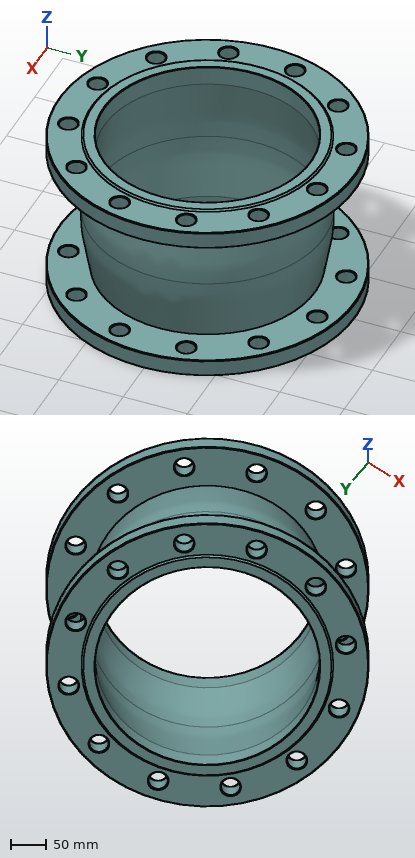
import cadquery as cq

flange_diameter = 460.0
height = 260.0
flange_thickness = 27.0
flange_chamfer = 1.5

rim_height = 2.8
rim_base_radius = 179.5
rim_top_radius = 176.5

bore_radius = 160.0
bore_chamfer = 1.0
neck_radius = 167.5
shoulder_low = (172.5, 66.5)
shoulder_high = (178.0, 42.0)
crest_radius = 180.5
inner_crest_radius = 169.5

bolt_count = 12
bolt_hole_diameter = 27.0
bolt_hole_chamfer = 1.5
bolt_circle_diameter = 400.0

half_height = height / 2
flange_face = half_height - rim_height
flange_back = flange_face - flange_thickness
flange_radius = flange_diameter / 2


def bulge_arch():
    """Revolve the upper half of the bellows wall, which swells towards the mid plane."""
    inner_swell = (inner_crest_radius - bore_radius) / (crest_radius - neck_radius)

    def inner_point(radius, z):
        return (bore_radius + (radius - neck_radius) * inner_swell, z)

    outer = [(neck_radius, flange_back), shoulder_low, shoulder_high, (crest_radius, 0)]
    inner = [inner_point(*point) for point in reversed(outer)]
    neck_slope = (shoulder_low[0] - neck_radius, shoulder_low[1] - flange_back)
    inner_slope = (-neck_slope[0] * inner_swell, -neck_slope[1])
    profile = (
        cq.Workplane("XZ")
        .moveTo(*outer[0])
        .spline(outer[1:], tangents=[neck_slope, (0, -1)], includeCurrent=True)
        .lineTo(*inner[0])
        .spline(inner[1:], tangents=[(0, 1), inner_slope], includeCurrent=True)
        .close()
    )
    return profile.revolve(360, (0, 0, 0), (0, 1, 0))


def bolt_hole_cutter():
    """Revolve a through hole with both mouths chamfered, standing on the XY plane."""
    hole_radius = bolt_hole_diameter / 2
    mouth_radius = hole_radius + bolt_hole_chamfer
    profile = (
        cq.Workplane("XZ")
        .polyline([
            (0, 0),
            (mouth_radius, 0),
            (hole_radius, bolt_hole_chamfer),
            (hole_radius, flange_thickness - bolt_hole_chamfer),
            (mouth_radius, flange_thickness),
            (0, flange_thickness),
        ])
        .close()
    )
    return profile.revolve(360, (0, 0, 0), (0, 1, 0)).val()


def flange():
    """Revolve the upper flange with its rim, then drill the bolt circle."""
    ring = (
        cq.Workplane("XZ")
        .polyline([
            (bore_radius, flange_back),
            (flange_radius - flange_chamfer, flange_back),
            (flange_radius, flange_back + flange_chamfer),
            (flange_radius, flange_face - flange_chamfer),
            (flange_radius - flange_chamfer, flange_face),
            (rim_base_radius, flange_face),
            (rim_top_radius, half_height),
            (bore_radius + bore_chamfer, half_height),
            (bore_radius, half_height - bore_chamfer),
        ])
        .close()
        .revolve(360, (0, 0, 0), (0, 1, 0))
    )
    half_pitch = 360 / bolt_count / 2
    cutter = bolt_hole_cutter()
    return ring.cut(
        cq.Workplane("XY", origin=(0, 0, flange_back))
        .polarArray(bolt_circle_diameter / 2, half_pitch, 360, bolt_count)
        .eachpoint(lambda location: cutter.moved(location))
    )


upper_half = bulge_arch().union(flange())
result = upper_half.union(upper_half.mirror("XY"))